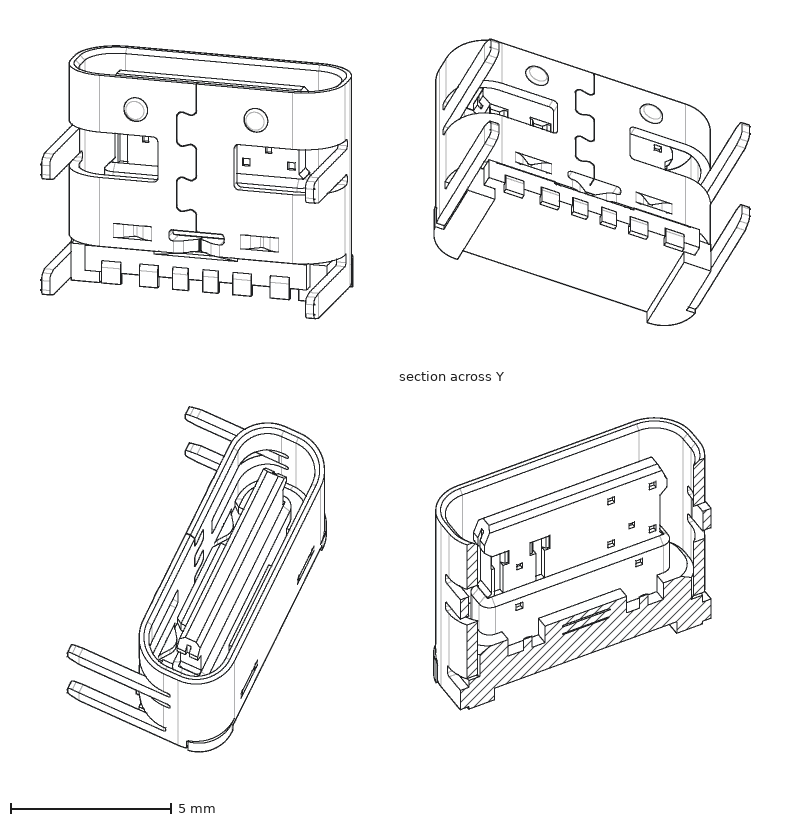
import cadquery as cq
import math


width = 8.94
depth = 3.16
overall_depth = 5.16
top_z = 6.9
corner_r = 1.32
wall = 0.3
rim_chamfer = 0.15
half_w = width / 2
half_d = depth / 2
inner_half_w = half_w - wall
inner_half_d = half_d - wall
skirt_z = 0.11
front_bottom_z = 1.305
front_cut_y = -0.18
back_cut_y = 0.53
cut_fillet = 0.16

leg_h = 0.82
leg_bottoms = (skirt_z, 3.89)
leg_tip_y = half_d - overall_depth
tip_len = 0.41
tip_drop = 0.26
tip_round_len = 0.17
tip_round_drop = 0.06
tip_taper = 0.04
leg_root_y = 0.09

window_bottom = 3.56
window_top = 5.04
window_half_gap = 1.24
window_fillet = 0.16
notch_root_y = -0.03
notch_fillet = 0.1

bow_x = 2.065
bow_half_w = 0.62
bow_angle = math.radians(36)
bow_bend_r = 0.51
bow_crest_r = 0.09
bow_bottom = 1.64
bow_top = 2.09

seam_x = 0.02
seam_gap = 0.02
tab_len = 0.635
tab_tops = (5.945, 3.81)
tab_h = 1.13
tab_shoulder = 0.16
tab_swell = 0.49
tab_wave = 0.11
seam_fillet = 0.125
tee_top = 2.06
tee_neck = 1.7
tee_width = 1.81
tee_fillet = 0.13
stem_half_w = 0.75
stem_slit = 0.06
slit_depth = 0.47

dimple_x = 1.96
dimple_z = 5.89
dimple_r = 0.38
dimple_h = 0.11
dimple_fillet = 0.09

core_top = 2.32
core_r = 1.13
core_chamfer = 0.21
foot_gap_half = 3.245
foot_gap_top = 0.48
foot_front_y = -1.24
foot_top = 1.22
back_block_top = 0.92
back_block_y = 0.59
back_block_r = 1.14
front_block_half_w = 3.61
front_block_y = -1.6
channel_in = 1.46
channel_out = 2.76
channel_flare = 0.18

step_len = 6.74
step_depth = 1.18
step_r = 0.375
step_chamfer = 0.23
step_top = 3.69
tongue_top = 6.55
tongue_half_d = step_depth / 2 - step_chamfer
tongue_tip_chamfer = 0.17

pin_pairs = ((0.49, 0.5), (1.52, 0.6), (2.745, 0.63))
pin_bottom = 0.13
pin_top = 0.85
pin_face_y = -1.66
pin_thickness = 0.14
pin_bend_z = 0.2
pin_bend_y = front_block_y - pin_face_y


def box(x0, x1, y0, y1, z0, z1):
    """Box between two opposite corners."""
    return cq.Workplane("XY").box(x1 - x0, y1 - y0, z1 - z0, centered=False).translate((x0, y0, z0))


def rounded_prism(size_x, size_y, radius, z0, z1):
    """Vertical prism with rounded vertical edges, centred on the Z axis."""
    return (
        cq.Workplane("XY").workplane(offset=z0)
        .rect(size_x, size_y).extrude(z1 - z0)
        .edges("|Z").fillet(radius)
    )


def both_sides(solid):
    """Solid together with its mirror image across the middle plane X = 0."""
    return solid.union(solid.mirror("YZ"))


def bow_prism(center_x, half_span, base_y, offset, z0, z1):
    """Prism of a bow that rises towards +Y: two bends, two straight flanks and a rounded crest.

    The curve is the bowed wall surface moved inwards by offset; the prism starts at base_y.
    """
    bend_r = bow_bend_r - offset
    crest_r = bow_crest_r + offset
    sin_full, cos_full = math.sin(bow_angle), math.cos(bow_angle)
    sin_half, cos_half = math.sin(bow_angle / 2), math.cos(bow_angle / 2)
    flank_run = half_span - (bend_r + crest_r) * sin_full
    foot_y = -half_d + offset
    flank_start_y = foot_y + bend_r * (1 - cos_full)
    flank_end_y = flank_start_y + flank_run * math.tan(bow_angle)
    crest_y = flank_end_y + crest_r * (1 - cos_full)
    bend_mid = (half_span - bend_r * sin_half, foot_y + bend_r * (1 - cos_half))
    bend_end_x = half_span - bend_r * sin_full
    crest_end_x = crest_r * sin_full
    return (
        cq.Workplane("XY", origin=(center_x, 0, z0))
        .moveTo(-half_span, base_y)
        .lineTo(-half_span, foot_y)
        .threePointArc((-bend_mid[0], bend_mid[1]), (-bend_end_x, flank_start_y))
        .lineTo(-crest_end_x, flank_end_y)
        .threePointArc((0, crest_y), (crest_end_x, flank_end_y))
        .lineTo(bend_end_x, flank_start_y)
        .threePointArc(bend_mid, (half_span, foot_y))
        .lineTo(half_span, base_y)
        .close().extrude(z1 - z0)
    )


def make_shell():
    """Hollow racetrack sleeve with its lower edge stepped and the leg windows cut out."""
    shell = rounded_prism(width, depth, corner_r, skirt_z, top_z)
    shell = shell.cut(rounded_prism(2 * inner_half_w, 2 * inner_half_d, corner_r - wall, 0, top_z))
    mid_wall_x = half_w - wall / 2
    mid_wall_y = half_d - wall / 2
    inside_wall = cq.selectors.BoxSelector(
        (-mid_wall_x, -mid_wall_y, 0), (mid_wall_x, mid_wall_y, top_z + wall), boundingbox=True
    )
    shell = shell.faces(">Z").edges(inside_wall).chamfer(rim_chamfer)
    leg_top = skirt_z + leg_h
    front_cut = box(-half_w, half_w, -half_d, front_cut_y, leg_top, front_bottom_z)
    shell = shell.cut(front_cut.edges("|X and >Y and <Z").fillet(notch_fillet))
    shell = shell.cut(box(-half_w, half_w, -half_d, front_cut_y - notch_fillet, 0, leg_top))
    back_cut = box(-half_w, half_w, back_cut_y, half_d, 0, back_block_top)
    shell = shell.cut(back_cut.edges("|X and <Y and >Z").fillet(cut_fillet))
    return shell.cut(both_sides(make_window()))


def make_window():
    """Cutter for the right-hand window and the relief notches beside the upper leg."""
    notch_end_y = -half_d / 2
    leg_z = leg_bottoms[1]
    window = box(window_half_gap, half_w, -half_d, notch_root_y - wall, window_bottom, window_top)
    window = window.edges("|Y and <X").fillet(window_fillet)
    for z0, z1 in ((window_bottom, leg_z), (leg_z + leg_h, window_top)):
        notch = box(inner_half_w - wall, half_w, notch_end_y, notch_root_y, z0, z1)
        window = window.union(notch.edges("|X and >Y").fillet(notch_fillet))
    return window


def make_leg(bottom_z):
    """Right-hand leg with a rounded tip that thins slightly on its outer face."""
    shoulder_y = leg_tip_y + tip_len
    round_y = leg_tip_y + tip_round_len
    round_mid_y = leg_tip_y + tip_round_len * (1 - math.sqrt(0.5))
    round_mid_drop = tip_drop - (tip_drop - tip_round_drop) * math.sqrt(0.5)
    leg_top = bottom_z + leg_h
    leg = (
        cq.Workplane("YZ").workplane(offset=inner_half_w)
        .moveTo(leg_root_y, bottom_z)
        .lineTo(shoulder_y, bottom_z)
        .lineTo(round_y, bottom_z + tip_round_drop)
        .threePointArc((round_mid_y, bottom_z + round_mid_drop), (leg_tip_y, bottom_z + tip_drop))
        .lineTo(leg_tip_y, leg_top - tip_drop)
        .threePointArc((round_mid_y, leg_top - round_mid_drop), (round_y, leg_top - tip_round_drop))
        .lineTo(shoulder_y, leg_top)
        .lineTo(leg_root_y, leg_top)
        .close().extrude(wall)
    )
    taper = (
        cq.Workplane("XY").workplane(offset=bottom_z)
        .polyline([(half_w, shoulder_y), (half_w, leg_tip_y), (half_w - tip_taper, leg_tip_y)])
        .close().extrude(leg_h)
    )
    return leg.cut(taper)


def make_core():
    """Plastic filling of the shell: racetrack body, feet, back block and front block."""
    body = rounded_prism(2 * inner_half_w, 2 * inner_half_d, core_r, foot_gap_top, core_top)
    body = body.faces(">Z").edges().chamfer(core_chamfer)
    body = body.cut(both_sides(make_channel().union(make_channel().mirror("XZ"))))

    base = box(-inner_half_w, inner_half_w, foot_front_y, back_block_y, 0, foot_top)
    back_block = rounded_prism(width, depth, back_block_r, 0, back_block_top)
    back_block = back_block.intersect(box(-half_w, half_w, back_block_y, half_d, 0, back_block_top))
    front_block = box(
        -front_block_half_w, front_block_half_w, front_block_y, 0, foot_gap_top, front_bottom_z
    )
    core = body.union(base).union(back_block).union(front_block)
    return core.cut(box(-foot_gap_half, foot_gap_half, -half_d, half_d, 0, foot_gap_top))


def make_channel():
    """Cutter clearing one spring strip, flared at the chamfered rim of the core."""
    rim_y = inner_half_d - core_chamfer
    return (
        cq.Workplane("XY").workplane(offset=bow_bottom)
        .polyline([
            (channel_in, step_depth / 2),
            (channel_out, step_depth / 2),
            (channel_out, rim_y),
            (channel_out + channel_flare, inner_half_d),
            (channel_in - channel_flare, inner_half_d),
            (channel_in, rim_y),
        ])
        .close().extrude(core_top - bow_bottom)
    )


def make_tongue():
    """Central tongue on a stepped root, with side notches, contact grooves and test holes."""
    root = rounded_prism(step_len, step_depth, step_r, foot_gap_top, step_top)
    root = root.faces(">Z").edges().chamfer(step_chamfer)

    waist = 2.995
    head = 3.25
    tip = 3.0
    notch_top = 5.36
    head_bottom = notch_top + head - waist
    head_top = 5.945
    flare_size = 0.15
    slot_w = 0.13
    side = [
        (0, core_top), (waist, core_top), (waist, notch_top), (head, head_bottom),
        (head, head_top), (tip, tongue_top), (0, tongue_top),
    ]
    blade = (
        cq.Workplane("XZ").polyline(side).close().extrude(tongue_half_d, both=True)
        .faces(">Z").edges("|X").chamfer(tongue_tip_chamfer)
    )
    flare = (
        cq.Workplane("XZ")
        .polyline([(waist, step_top + flare_size), (waist + flare_size, step_top), (waist, step_top)])
        .close().extrude(tongue_half_d, both=True)
    )
    blade = blade.cut(box(head - slot_w, head, -slot_w / 2, slot_w / 2, notch_top, top_z))
    tongue = root.union(both_sides(blade.union(flare)))
    return cut_tongue_details(tongue)


def cut_tongue_details(tongue):
    """Cut the square holes and the two contact grooves into the front of the tongue."""
    hole_depth = 0.13
    blade_y = -tongue_half_d
    step_y = -step_depth / 2
    contact_x = (1.27, 2.745)
    small_hole = 0.2
    small_hole_x = 2.0
    small_hole_z = 4.54
    large_hole = 0.24
    large_hole_rows = (4.09, 5.88)
    step_hole_x = 2.14
    step_hole_z = 3.11
    holes = [(x, small_hole_z, small_hole, blade_y) for x in (-small_hole_x, small_hole_x)]
    holes += [(x, z, large_hole, blade_y) for x in contact_x for z in large_hole_rows]
    holes += [(x, step_hole_z, large_hole, step_y) for x in (-step_hole_x, step_hole_x)]
    for x, z, size, face_y in holes:
        half = size / 2
        tongue = tongue.cut(box(x - half, x + half, face_y, face_y + hole_depth, z - half, z + half))

    groove_half = 0.15
    groove_floor_y = blade_y + 0.2
    flank_half = 0.25
    ledge_half = 0.36
    ledge_y = blade_y + 0.06
    ledge_bottom = 4.84
    groove_top = 5.36
    for x in contact_x:
        groove = box(-x - groove_half, -x + groove_half, blade_y, groove_floor_y, step_top, groove_top)
        ledge = (
            cq.Workplane("XY", origin=(-x, 0, ledge_bottom))
            .polyline([
                (-ledge_half, blade_y), (-ledge_half, ledge_y), (-flank_half, ledge_y),
                (-groove_half, groove_floor_y), (groove_half, groove_floor_y),
                (flank_half, ledge_y), (ledge_half, ledge_y), (ledge_half, blade_y),
            ])
            .close().extrude(groove_top - ledge_bottom)
        )
        tongue = tongue.cut(groove).cut(ledge)
    return tongue


def make_pin(center_x, pin_width):
    """Flat solder pin with a rounded upper front edge."""
    back_y = pin_face_y + pin_thickness
    mid_share = 1 - math.sqrt(0.5)
    bend_mid = (pin_face_y + pin_bend_y * mid_share, pin_top - pin_bend_z * mid_share)
    return (
        cq.Workplane("YZ").workplane(offset=center_x - pin_width / 2)
        .moveTo(back_y, pin_bottom)
        .lineTo(pin_face_y, pin_bottom)
        .lineTo(pin_face_y, pin_top - pin_bend_z)
        .threePointArc(bend_mid, (front_block_y, pin_top))
        .lineTo(back_y, pin_top)
        .close().extrude(pin_width)
    )


def make_dimple():
    """Right-hand locating dimple on the front wall."""
    return (
        cq.Workplane("XZ", origin=(dimple_x, -half_d, dimple_z))
        .circle(dimple_r).extrude(dimple_h)
        .faces("<Y").edges().fillet(dimple_fillet)
    )


def make_seam():
    """Thin dovetail slit where the two ends of the folded shell interlock."""
    far_x = half_w
    above = top_z + wall
    below = tee_neck
    outline = [(seam_x, above)]
    for tab_top in tab_tops:
        tab_bottom = tab_top - tab_h
        shoulder_x = seam_x - tab_shoulder
        swell_x = seam_x - tab_swell
        end_x = seam_x - tab_len
        outline += [
            (seam_x, tab_top), (shoulder_x, tab_top - tab_wave),
            (swell_x, tab_top), (end_x, tab_top - tab_wave),
            (end_x, tab_bottom + tab_wave), (swell_x, tab_bottom),
            (shoulder_x, tab_bottom + tab_wave), (seam_x, tab_bottom),
        ]
    outline += [(seam_x, below), (far_x, below), (far_x, above)]
    plane = cq.Workplane("XZ", origin=(0, -inner_half_d, 0))
    half = plane.polyline(outline).close().extrude(wall).edges("|Y").fillet(seam_fillet)
    grown = half.faces("<Y").wires().toPending().offset2D(seam_gap).extrude(-wall)
    reach = tee_width / 2 - tee_fillet
    return grown.cut(half).intersect(box(-reach, reach, -half_d, 0, tee_top, top_z))


def make_tee():
    """Cutter for the T-shaped opening, leaving a bevelled plastic ridge in its crossbar."""
    left = seam_x - tee_width / 2
    right = seam_x + tee_width / 2
    floor_y = -inner_half_d + wall
    crossbar = box(left, right, -half_d, floor_y, tee_neck, tee_top)
    crossbar = crossbar.edges("|Y").fillet(tee_fillet)
    ridge_y = floor_y - 0.13
    ridge_top = 1.89
    ridge_bottom = 1.76
    ridge = (
        cq.Workplane("YZ").workplane(offset=left)
        .polyline([
            (floor_y, tee_top), (ridge_y, ridge_top),
            (ridge_y, ridge_bottom), (floor_y, tee_neck),
        ])
        .close().extrude(tee_width)
    )
    stem = bow_prism(seam_x, stem_half_w, -half_d - wall, 0, front_bottom_z, tee_neck)
    slit = box(
        seam_x - stem_slit / 2, seam_x + stem_slit / 2, -half_d, -half_d + slit_depth,
        front_bottom_z, tee_neck,
    )
    recess_outer = 1.36
    recess_inner = 0.5
    recess = (
        cq.Workplane("XY").workplane(offset=foot_top)
        .polyline([
            (-recess_outer, front_block_y), (recess_outer, front_block_y),
            (recess_inner, -inner_half_d), (-recess_inner, -inner_half_d),
        ])
        .close().extrude(front_bottom_z - foot_top)
    )
    return crossbar.cut(ridge).union(stem).union(slit).union(recess)


result = make_shell().cut(make_seam())
for leg_bottom in leg_bottoms:
    result = result.union(both_sides(make_leg(leg_bottom)))
result = result.union(both_sides(make_dimple()))
result = result.union(make_core()).union(make_tongue())

strip = bow_prism(bow_x, bow_half_w, -half_d, wall, bow_bottom, bow_top)
hollow = bow_prism(bow_x, bow_half_w, -half_d - wall, 0, bow_bottom, bow_top)
result = result.union(both_sides(strip.union(strip.mirror("XZ"))))
result = result.cut(both_sides(hollow.union(hollow.mirror("XZ"))))

result = result.cut(make_tee())
for pin_x, pin_width in pin_pairs:
    result = result.union(both_sides(make_pin(pin_x, pin_width)))